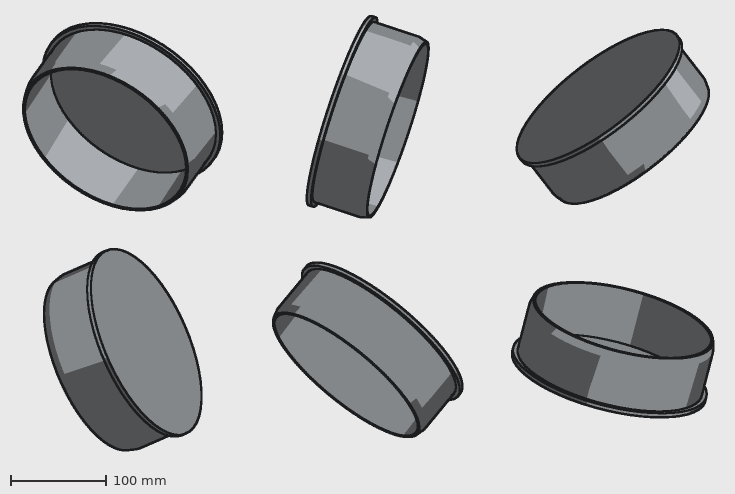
import cadquery as cq

flange_diameter = 210.0
body_diameter = 200.0
bore_diameter = 190.3
total_depth = 64.5
flange_thickness = 4.8
floor_thickness = 4.8
taper_length = 9.0
taper_inset = 2.5

flange_radius = flange_diameter / 2
body_radius = body_diameter / 2
bore_radius = bore_diameter / 2
tip_radius = body_radius - taper_inset

back_y = total_depth / 2
open_y = -total_depth / 2
flange_front_y = back_y - flange_thickness
floor_y = back_y - floor_thickness
taper_start_y = open_y + taper_length

half_section = (
    cq.Workplane("XY")
    .moveTo(0, back_y)
    .lineTo(flange_radius, back_y)
    .lineTo(flange_radius, flange_front_y)
    .lineTo(body_radius, flange_front_y)
    .lineTo(body_radius, taper_start_y)
    .lineTo(tip_radius, open_y)
    .lineTo(bore_radius, open_y)
    .lineTo(bore_radius, floor_y)
    .lineTo(0, floor_y)
    .close()
)

result = half_section.revolve(360, (0, 0, 0), (0, 1, 0))